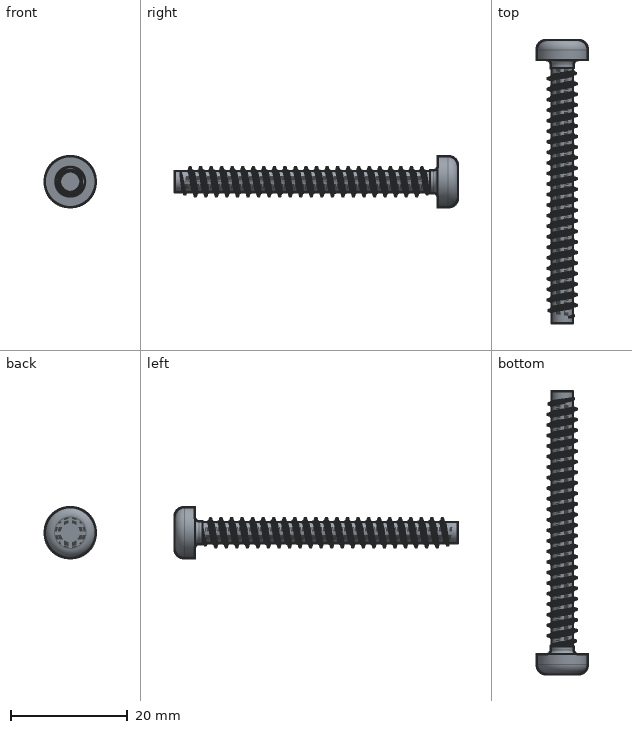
import cadquery as cq
import math

total_length = 48.5

head_diameter = 8.8
head_height = 3.5
head_round = 1.7

shank_length = total_length - head_height
neck_diameter = 4.0
neck_length = 1.3
neck_fillet = 0.7
core_diameter = 3.7
tip_chamfer = 0.1

thread_diameter = 5.05
thread_start = 0.85
thread_end = 44.15
thread_turns = 24
fade_turns = 1.3
pitch = (thread_end - thread_start) / thread_turns
points_per_turn = 12

foot_head_side = 0.8
foot_tip_side = 0.5
shoulder_half_width = 0.15
shoulder_height = 0.2
crest_half_width = 0.025
foot_depth = 0.15
faded_depth = 0.1
crest_height = (thread_diameter - core_diameter) / 2


def make_body():
    """Head, neck and plain core as one turned solid."""
    head_radius = head_diameter / 2
    neck_radius = neck_diameter / 2
    core_radius = core_diameter / 2
    diagonal = math.sqrt(0.5)
    head_round_centre = (head_radius - head_round, head_height - head_round)
    fillet_centre = (neck_radius + neck_fillet, -neck_fillet)
    return (
        cq.Workplane("XY")
        .moveTo(0, head_height)
        .lineTo(head_round_centre[0], head_height)
        .threePointArc(
            (head_round_centre[0] + head_round * diagonal, head_round_centre[1] + head_round * diagonal),
            (head_radius, head_round_centre[1]),
        )
        .lineTo(head_radius, 0)
        .lineTo(fillet_centre[0], 0)
        .threePointArc(
            (fillet_centre[0] - neck_fillet * diagonal, fillet_centre[1] + neck_fillet * diagonal),
            (neck_radius, fillet_centre[1]),
        )
        .lineTo(neck_radius, -neck_length)
        .lineTo(core_radius, -neck_length)
        .lineTo(core_radius, tip_chamfer - shank_length)
        .lineTo(core_radius - tip_chamfer, -shank_length)
        .lineTo(0, -shank_length)
        .close()
        .revolve(360, (0, 0, 0), (0, 1, 0))
    )


def ridge_growth(turn):
    """Share of the full ridge height: 0 at both thread ends, 1 in between."""
    turns_from_end = min(turn, thread_turns - turn)
    fade_share = min(turns_from_end / fade_turns, 1.0)
    return math.sin(math.pi / 2 * fade_share)


def ridge_line(full_height, faded_height, offset):
    """Helical edge of one ridge corner: heights above the core, offset along the axis."""
    turns = [step / points_per_turn for step in range(thread_turns * points_per_turn + 1)]
    points = []
    for turn in turns:
        height = faded_height + (full_height - faded_height) * ridge_growth(turn)
        radius = core_diameter / 2 + height
        angle = 2 * math.pi * turn
        y = offset - thread_start - pitch * turn
        points.append(cq.Vector(-radius * math.sin(angle), y, radius * math.cos(angle)))
    return cq.Edge.makeSpline(points, parameters=turns)


def make_thread():
    """Solid ridge bounded by ruled helical faces and two flat ends."""
    lines = [
        ridge_line(-foot_depth, -foot_depth, foot_head_side),
        ridge_line(shoulder_height, -faded_depth, shoulder_half_width),
        ridge_line(crest_height, -faded_depth, crest_half_width),
        ridge_line(crest_height, -faded_depth, -crest_half_width),
        ridge_line(shoulder_height, -faded_depth, -shoulder_half_width),
        ridge_line(-foot_depth, -foot_depth, -foot_tip_side),
    ]
    next_lines = lines[1:] + lines[:1]
    faces = [cq.Face.makeRuledSurface(line, next_line) for line, next_line in zip(lines, next_lines)]
    end_outlines = (
        [line.startPoint() for line in lines],
        [line.endPoint() for line in lines],
    )
    for corners in end_outlines:
        faces.append(cq.Face.makeFromWires(cq.Wire.makePolygon(corners, close=True)))
    return cq.Solid.makeSolid(cq.Shell.makeShell(faces))


result = make_body().union(cq.Workplane(make_thread())).solids()